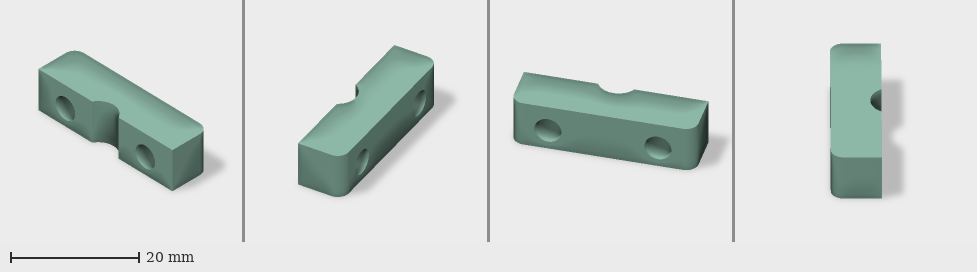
import cadquery as cq

length = 29.85
depth = 8.0
height = 8.0
back_corner_radius = 2.0

hole_diameter = 4.35
hole_spacing = 17.8
hole_height = 3.5

groove_width = 5.85
groove_depth = 1.75

front_y = -depth / 2


def make_block():
    block = cq.Workplane("XY").box(length, depth, height, centered=(True, True, False))
    return block.edges("|Z and >Y").fillet(back_corner_radius)


def make_groove():
    half_width = groove_width / 2
    radius = (half_width**2 + groove_depth**2) / (2 * groove_depth)
    axis_y = front_y + groove_depth - radius
    return cq.Workplane("XY").center(0, axis_y).circle(radius).extrude(height)


def make_holes():
    hole_centers = [(side * hole_spacing / 2, hole_height) for side in (-1, 1)]
    return (
        cq.Workplane("XZ", origin=(0, depth / 2, 0))
        .pushPoints(hole_centers)
        .circle(hole_diameter / 2)
        .extrude(depth)
    )


result = make_block().cut(make_groove()).cut(make_holes())